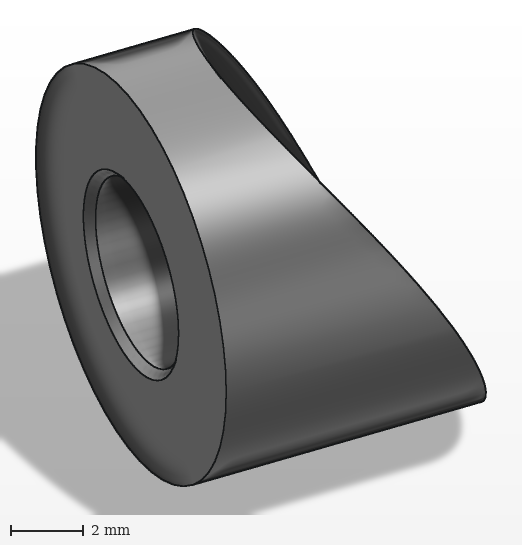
import cadquery as cq
import math

outer_diameter = 12.0
total_length = 9.16
bore_diameter = 5.5
bore_chamfer = 0.25
tube_diameter = 42.4
tube_slope = 28.5

outer_radius = outer_diameter / 2
bore_radius = bore_diameter / 2
tube_radius = tube_diameter / 2
saddle_slope = math.radians(tube_slope)
axis_length = total_length - outer_radius * math.tan(saddle_slope)
tube_length = 4 * outer_diameter


def washer_blank():
    """Round blank along +Y, with its flat face on the plane Y = 0."""
    return cq.Workplane("XZ").circle(outer_radius).extrude(-total_length)


def bore():
    """Through bore, widened by a conical chamfer at the flat face."""
    mouth_radius = bore_radius + bore_chamfer
    profile = [
        (0, 0),
        (mouth_radius, 0),
        (bore_radius, bore_chamfer),
        (bore_radius, total_length),
        (0, total_length),
    ]
    return cq.Workplane("XY").polyline(profile).close().revolve(360, (0, 0), (0, 1))


def tube():
    """Sloping tube that hollows the far end into a saddle."""
    axis_y = axis_length + tube_radius / math.cos(saddle_slope)
    axis_direction = cq.Vector(0, -math.sin(saddle_slope), math.cos(saddle_slope))
    start = cq.Vector(0, axis_y, 0) - axis_direction * (tube_length / 2)
    return cq.Workplane(cq.Solid.makeCylinder(tube_radius, tube_length, start, axis_direction))


result = washer_blank().cut(bore()).cut(tube())